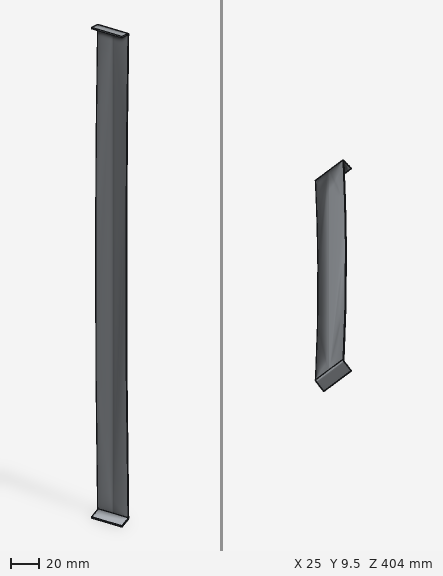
import cadquery as cq

width = 25.0
depth = 9.5
height = 404.0
thickness = 1.2

flange_rise = 1.5
web_half_height = height / 2 - flange_rise
inner_bend_radius = 1.0
outer_bend_radius = inner_bend_radius + thickness

edge_bow = 3.05
end_bow = 0.2
crease_width = 1.0


def web_section(z, bow):
    """Shallow V of constant thickness, with a narrow flat crease at the back."""
    half = width / 2
    half_crease = crease_width / 2
    return (
        cq.Workplane("XY", origin=(0, 0, z))
        .polyline([
            (-half, -bow),
            (-half_crease, 0),
            (half_crease, 0),
            (half, -bow),
            (half, -thickness - bow),
            (half_crease, -thickness),
            (-half_crease, -thickness),
            (-half, -thickness - bow),
        ])
        .close()
        .wires()
        .val()
    )


def bowed_web():
    """Loft smoothly through the two flat ends and the V at mid height."""
    end_height = web_half_height - outer_bend_radius
    sections = [
        web_section(-end_height, end_bow),
        web_section(0, edge_bow),
        web_section(end_height, end_bow),
    ]
    return cq.Workplane(cq.Solid.makeLoft(sections))


def top_flange():
    """Rounded bend and thin lip that runs forward from the web and rises to its tip."""
    bend_start = web_half_height - outer_bend_radius
    profile = (
        cq.Workplane("YZ", origin=(-width / 2, 0, 0))
        .moveTo(0, bend_start)
        .radiusArc((-outer_bend_radius, web_half_height), -outer_bend_radius)
        .lineTo(-depth, height / 2)
        .lineTo(-depth, height / 2 - thickness)
        .lineTo(-outer_bend_radius, web_half_height - thickness)
        .radiusArc((-thickness, bend_start), inner_bend_radius)
        .close()
    )
    return profile.extrude(width)


upper = top_flange()
lower = upper.mirror("XY")
result = bowed_web().union(upper).union(lower)